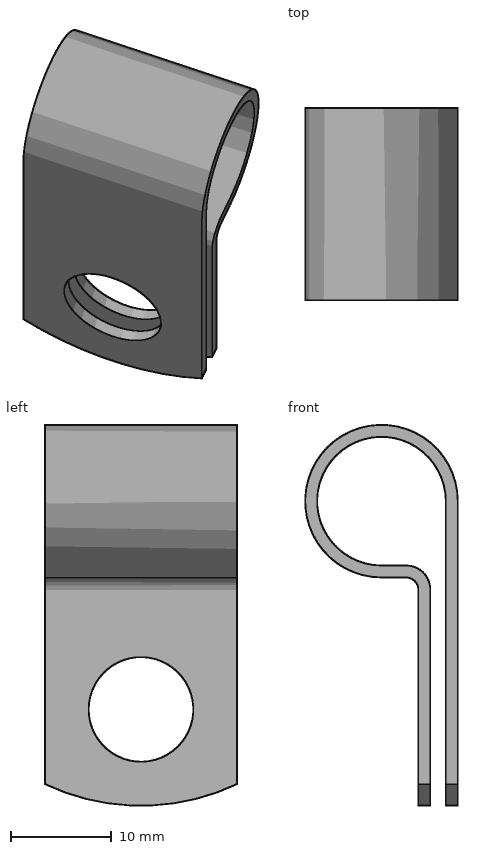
import cadquery as cq
import math

height = 37.72
strap_width = 19.05
thickness = 1.2
loop_diameter = 15.13
leg_gap = 1.5
bend_inner_radius = 1.2
hole_diameter = 10.35
hole_height = 9.55
end_arc_rise = 2.15

loop_outer = loop_diameter / 2
loop_inner = loop_outer - thickness
leg_bottom = loop_outer - height
short_leg_right = loop_inner - leg_gap
short_leg_left = short_leg_right - thickness
bend_outer_radius = bend_inner_radius + thickness
bend_x = short_leg_left - bend_inner_radius
bend_z = -loop_outer - bend_inner_radius
half_width = strap_width / 2
diagonal = math.sqrt(0.5)


def make_strap():
    """Bent strip: long leg, loop, short flat, bend and short leg."""
    return (
        cq.Workplane("XZ")
        .moveTo(loop_outer, leg_bottom)
        .lineTo(loop_outer, 0)
        .threePointArc((-loop_outer * diagonal, loop_outer * diagonal), (0, -loop_outer))
        .lineTo(bend_x, -loop_outer)
        .threePointArc(
            (bend_x + bend_inner_radius * diagonal, bend_z + bend_inner_radius * diagonal),
            (short_leg_left, bend_z),
        )
        .lineTo(short_leg_left, leg_bottom)
        .lineTo(short_leg_right, leg_bottom)
        .lineTo(short_leg_right, bend_z)
        .threePointArc(
            (bend_x + bend_outer_radius * diagonal, bend_z + bend_outer_radius * diagonal),
            (bend_x, -loop_inner),
        )
        .lineTo(0, -loop_inner)
        .threePointArc((-loop_inner * diagonal, loop_inner * diagonal), (loop_inner, 0))
        .lineTo(loop_inner, leg_bottom)
        .close()
        .extrude(half_width, both=True)
    )


def make_end_envelope():
    """Block across X whose lower face is the arc that rounds both leg ends."""
    edge_bottom = leg_bottom + end_arc_rise
    return (
        cq.Workplane("YZ")
        .moveTo(-half_width, edge_bottom)
        .threePointArc((0, leg_bottom), (half_width, edge_bottom))
        .lineTo(half_width, loop_outer)
        .lineTo(-half_width, loop_outer)
        .close()
        .extrude(loop_outer, both=True)
    )


def make_bolt_hole():
    """Cylinder along X through both legs."""
    return (
        cq.Workplane("YZ")
        .center(0, leg_bottom + hole_height)
        .circle(hole_diameter / 2)
        .extrude(loop_outer, both=True)
    )


result = make_strap().intersect(make_end_envelope()).cut(make_bolt_hole())